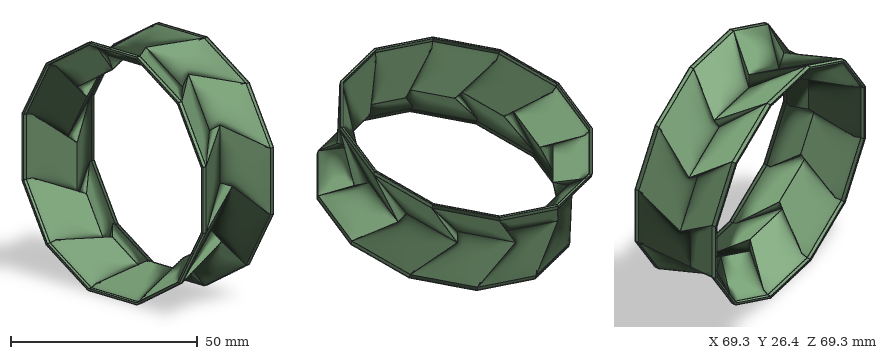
import cadquery as cq
import math

SIDES = 12
ACROSS_FLATS = 69.35
RING_WIDTH = 26.4
BAND_WIDTH = 1.2
WALL = 0.6
WAIST_FLAT_DISTANCE = 27.75
STEP_X = -0.7

PITCH = 2 * math.pi / SIDES
FLAT_DISTANCE = ACROSS_FLATS / 2
RIM_Y = RING_WIDTH / 2
BAND_Y = RIM_Y - BAND_WIDTH


def turned(point, sides):
    """Turn a point around the Y axis by a number of sides, from +Z towards +X."""
    angle = sides * PITCH
    return cq.Vector(
        point.x * math.cos(angle) + point.z * math.sin(angle),
        point.y,
        point.z * math.cos(angle) - point.x * math.sin(angle),
    )


def inset_plane(a, b, c):
    """Plane through three points, moved by WALL towards the axis: (unit normal, offset)."""
    normal = (b - a).cross(c - a).normalized()
    return normal, normal.dot(a) - WALL


def turned_plane(plane, sides):
    return turned(plane[0], sides), plane[1]


def meeting_point(p, q, r):
    """Common point of three planes."""
    weighted = q[0].cross(r[0]) * p[1] + r[0].cross(p[0]) * q[1] + p[0].cross(q[0]) * r[1]
    return weighted * (1 / p[0].dot(q[0].cross(r[0])))


def rim_corner(flat_distance, y):
    """Right-hand corner of the top side of the regular polygon."""
    return cq.Vector(flat_distance * math.tan(PITCH / 2), y, flat_distance)


def polygon_face(points):
    return cq.Face.makeFromWires(cq.Wire.makePolygon(points, close=True))


def ring_solid(rim, band, tip, crest, root):
    """Filled ring built from the corner points at the right-hand end of its top facet.

    rim and band bound the band, tip is where the step begins,
    and crest and root are the ends of the step at the waist.
    """
    band_side = [turned(rim, -1), rim, band, turned(band, -1)]
    if tip is band:
        facet = [turned(band, -1), band, root, turned(crest, -1)]
    else:
        facet = [turned(band, -1), band, tip, root, turned(crest, -1), turned(tip, -1)]
    step = [tip, crest, root]

    faces = []
    for side in range(SIDES):
        for outline in (band_side, facet, step):
            faces.append(polygon_face([turned(point, side) for point in outline]))

    waist = []
    for side in range(SIDES):
        waist += [turned(root, side), turned(crest, side)]
    faces.append(polygon_face(waist))
    faces.append(polygon_face([turned(rim, side) for side in range(SIDES)]))

    half = cq.Workplane(cq.Solid.makeSolid(cq.Shell.makeShell(faces)))
    return half.union(half.mirror("XZ"))


outer_rim = rim_corner(FLAT_DISTANCE, RIM_Y)
outer_band = rim_corner(FLAT_DISTANCE, BAND_Y)
crest_z = (WAIST_FLAT_DISTANCE - STEP_X * math.sin(PITCH)) / math.cos(PITCH)
outer_crest = cq.Vector(STEP_X, 0, crest_z)
outer_root = cq.Vector(STEP_X, 0, WAIST_FLAT_DISTANCE)

facet_plane = inset_plane(outer_band, turned(outer_band, -1), outer_root)
next_facet_plane = turned_plane(facet_plane, 1)
step_plane = inset_plane(outer_band, outer_root, outer_crest)
band_plane = (cq.Vector(0, 0, 1), FLAT_DISTANCE - WALL)
waist_plane = (cq.Vector(0, 1, 0), 0.0)

inner_rim = rim_corner(FLAT_DISTANCE - WALL, RIM_Y)
inner_band = meeting_point(band_plane, turned_plane(band_plane, 1), facet_plane)
inner_tip = meeting_point(facet_plane, next_facet_plane, step_plane)
inner_crest = meeting_point(next_facet_plane, step_plane, waist_plane)
inner_root = meeting_point(facet_plane, step_plane, waist_plane)

body = ring_solid(outer_rim, outer_band, outer_band, outer_crest, outer_root)
bore = ring_solid(inner_rim, inner_band, inner_tip, inner_crest, inner_root)
result = body.cut(bore)